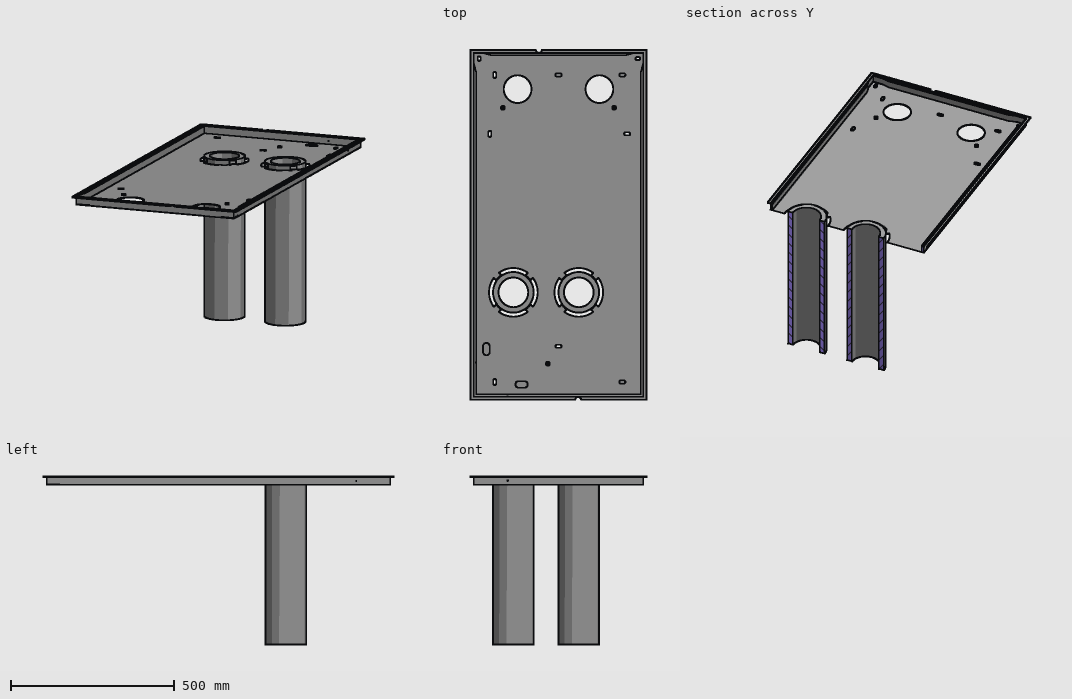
import cadquery as cq


TRAY_WIDTH = 538.0
TRAY_LENGTH = 1070.0
TRAY_DEPTH = 26.0
RIM_OVERHANG = 9.5
RIM_THICKNESS = 3.0
FLOOR_THICKNESS = 2.0
CORNER_WALL = 0.7
SIDE_WALL = 7.5
LEDGE_DROP = 1.5

BOX_WIDTH = TRAY_WIDTH - 2 * RIM_OVERHANG
BOX_LENGTH = TRAY_LENGTH - 2 * RIM_OVERHANG
FLOOR_TOP = FLOOR_THICKNESS - TRAY_DEPTH

CORNER_POCKET = 32.0
CORNER_SLANT = 25.0

NOTCH_X = 60.0
NOTCH_RADIUS = 9.0

ROUND_HOLE_DIAMETER = 84.0
ROUND_HOLE_X = 125.0
ROUND_HOLE_Y = 415.0
SLOT_LENGTH = 18.5
SLOT_WIDTH = 8.5
CORNER_SLOT_LENGTH = 14.0
CORNER_SLOT_X = 242.5
CORNER_SLOT_Y = 508.5
END_SLOT_X = 195.0
UPPER_SLOT_Y = 458.5
SIDE_SLOT_X = 210.0
SIDE_SLOT_Y = 278.5
INNER_SLOT_Y = -370.5
LOWER_SLOT_Y = -480.0

KNOCKOUT_LENGTH = 38.0
KNOCKOUT_WIDTH = 21.0
KNOCKOUT_GROOVE = 0.5
KNOCKOUT_GROOVE_DEPTH = 0.5
KNOCKOUTS = [(-220.5, -379.5, 90), (-113.0, -487.5, 0)]

NUT_DIAMETER = 12.0
NUT_BORE = 5.0
NUT_HEIGHT = 3.0
NUT_PLACES = [(-170.0, 358.0), (170.0, 358.0), (-32.5, -424.0)]

WALL_HOLE_DIAMETER = 1.5
WALL_HOLE_Z = -13.5
FRONT_WALL_HOLE_X = -155.5
SIDE_WALL_HOLE_Y = -421.0

TUBE_DIAMETER = 125.0
TUBE_BORE = 90.0
TUBE_TOP = -12.0
TUBE_BOTTOM = -514.0
TUBE_Y = -206.0
TUBE_PLACES = [(-138.0, TUBE_Y), (62.0, TUBE_Y)]
OPENING_DIAMETER = 148.0
TAB_WIDTH = 22.0
TAB_HEIGHT = 10.0
TAB_THICKNESS = 1.5
TAB_ROOT_OVERLAP = 2.0
TAB_ANGLES = [45, 135, 225, 315]


def box_between(x0, x1, y0, y1, z0, z1):
    return cq.Workplane("XY").box(x1 - x0, y1 - y0, z1 - z0, centered=False).translate((x0, y0, z0))


def cylinder(x, y, z0, z1, diameter):
    return cq.Workplane("XY", origin=(x, y, z0)).circle(diameter / 2).extrude(z1 - z0)


def oval(x, y, angle, length, width, z0, z1):
    return cq.Workplane("XY", origin=(x, y, z0)).slot2D(length, width, angle).extrude(z1 - z0)


def tray_pocket():
    """Inside of the tray: a rectangle that widens through a slant at both +Y corners."""
    side = BOX_WIDTH / 2 - SIDE_WALL
    end = BOX_LENGTH / 2 - SIDE_WALL
    wide_side = BOX_WIDTH / 2 - CORNER_WALL
    wide_end = BOX_LENGTH / 2 - CORNER_WALL
    pocket_x = BOX_WIDTH / 2 - CORNER_POCKET
    pocket_y = BOX_LENGTH / 2 - CORNER_POCKET
    right_half = [
        (side, -end),
        (side, pocket_y - CORNER_SLANT),
        (wide_side, pocket_y),
        (wide_side, wide_end),
        (pocket_x, wide_end),
        (pocket_x - CORNER_SLANT, end),
    ]
    left_half = [(-x, y) for x, y in reversed(right_half)]
    outline = cq.Workplane("XY", origin=(0, 0, FLOOR_TOP)).polyline(right_half + left_half).close()
    return outline.extrude(-FLOOR_TOP)


def tray_shell():
    rim = cq.Workplane("XY").rect(TRAY_WIDTH, TRAY_LENGTH).extrude(-RIM_THICKNESS)
    box = cq.Workplane("XY").rect(BOX_WIDTH, BOX_LENGTH).extrude(-TRAY_DEPTH)
    ledge_width = BOX_WIDTH - 2 * CORNER_WALL
    ledge_length = BOX_LENGTH - 2 * CORNER_WALL
    ledge = cq.Workplane("XY").rect(ledge_width, ledge_length).extrude(-LEDGE_DROP)
    return rim.union(box).cut(ledge).cut(tray_pocket())


def rim_notches():
    edge = TRAY_LENGTH / 2
    back = cylinder(-NOTCH_X, edge, -RIM_THICKNESS, 0, 2 * NOTCH_RADIUS)
    front = cylinder(NOTCH_X, -edge, -RIM_THICKNESS, 0, 2 * NOTCH_RADIUS)
    return back.union(front)


def floor_holes():
    slots = [
        (-CORNER_SLOT_X, CORNER_SLOT_Y, 90, CORNER_SLOT_LENGTH),
        (CORNER_SLOT_X, CORNER_SLOT_Y, 0, CORNER_SLOT_LENGTH),
        (-END_SLOT_X, UPPER_SLOT_Y, 90, SLOT_LENGTH),
        (0, UPPER_SLOT_Y, 0, SLOT_LENGTH),
        (END_SLOT_X, UPPER_SLOT_Y, 0, SLOT_LENGTH),
        (-SIDE_SLOT_X, SIDE_SLOT_Y, 90, SLOT_LENGTH),
        (SIDE_SLOT_X, SIDE_SLOT_Y, 0, SLOT_LENGTH),
        (0, INNER_SLOT_Y, 0, SLOT_LENGTH),
        (-END_SLOT_X, LOWER_SLOT_Y, 90, SLOT_LENGTH),
        (END_SLOT_X, LOWER_SLOT_Y, 0, SLOT_LENGTH),
    ]
    holes = cq.Workplane("XY")
    for x in (-ROUND_HOLE_X, ROUND_HOLE_X):
        holes = holes.add(cylinder(x, ROUND_HOLE_Y, -TRAY_DEPTH, FLOOR_TOP, ROUND_HOLE_DIAMETER))
    for x, y, angle, length in slots:
        holes = holes.add(oval(x, y, angle, length, SLOT_WIDTH, -TRAY_DEPTH, FLOOR_TOP))
    return holes.combine()


def knockout_groove(x, y, angle):
    z0 = FLOOR_TOP - KNOCKOUT_GROOVE_DEPTH
    inner_length = KNOCKOUT_LENGTH - 2 * KNOCKOUT_GROOVE
    inner_width = KNOCKOUT_WIDTH - 2 * KNOCKOUT_GROOVE
    outer = oval(x, y, angle, KNOCKOUT_LENGTH, KNOCKOUT_WIDTH, z0, FLOOR_TOP)
    return outer.cut(oval(x, y, angle, inner_length, inner_width, z0, FLOOR_TOP))


def wall_holes():
    front = cq.Workplane("XZ", origin=(FRONT_WALL_HOLE_X, -BOX_LENGTH / 2, WALL_HOLE_Z))
    side = cq.Workplane("YZ", origin=(-BOX_WIDTH / 2, SIDE_WALL_HOLE_Y, WALL_HOLE_Z))
    front_hole = front.circle(WALL_HOLE_DIAMETER / 2).extrude(-SIDE_WALL)
    side_hole = side.circle(WALL_HOLE_DIAMETER / 2).extrude(SIDE_WALL)
    return front_hole.union(side_hole)


def tube_tabs(x, y):
    """Four floor tabs that reach in to the tube and turn up along its side."""
    half_width = TAB_WIDTH / 2
    flat_end = OPENING_DIAMETER / 2 + TAB_ROOT_OVERLAP
    upright_end = TUBE_DIAMETER / 2 + TAB_THICKNESS
    tab_top = FLOOR_TOP + TAB_HEIGHT
    flat = box_between(0, flat_end, -half_width, half_width, -TRAY_DEPTH, FLOOR_TOP)
    upright = box_between(0, upright_end, -half_width, half_width, FLOOR_TOP, tab_top)
    tab = flat.union(upright)
    tabs = cq.Workplane("XY")
    for angle in TAB_ANGLES:
        tabs = tabs.add(tab.rotate((0, 0, 0), (0, 0, 1), angle))
    placed = tabs.combine().translate((x, y, 0))
    return placed.cut(cylinder(x, y, -TRAY_DEPTH, 0, TUBE_DIAMETER))


def make_tray():
    tray = tray_shell().cut(rim_notches()).cut(floor_holes()).cut(wall_holes())
    for knockout in KNOCKOUTS:
        tray = tray.cut(knockout_groove(*knockout))
    for x, y in NUT_PLACES:
        tray = tray.union(cylinder(x, y, FLOOR_TOP, FLOOR_TOP + NUT_HEIGHT, NUT_DIAMETER))
        tray = tray.cut(cylinder(x, y, -TRAY_DEPTH, FLOOR_TOP + NUT_HEIGHT, NUT_BORE))
    for x, y in TUBE_PLACES:
        tray = tray.cut(cylinder(x, y, -TRAY_DEPTH, FLOOR_TOP, OPENING_DIAMETER))
        tray = tray.union(tube_tabs(x, y))
    return tray


def make_tube(x, y):
    outside = cylinder(x, y, TUBE_BOTTOM, TUBE_TOP, TUBE_DIAMETER)
    return outside.cut(cylinder(x, y, TUBE_BOTTOM, TUBE_TOP, TUBE_BORE))


tray = make_tray()
tubes = [make_tube(x, y) for x, y in TUBE_PLACES]
result = cq.Compound.makeCompound([tray.val(), *[tube.val() for tube in tubes]])